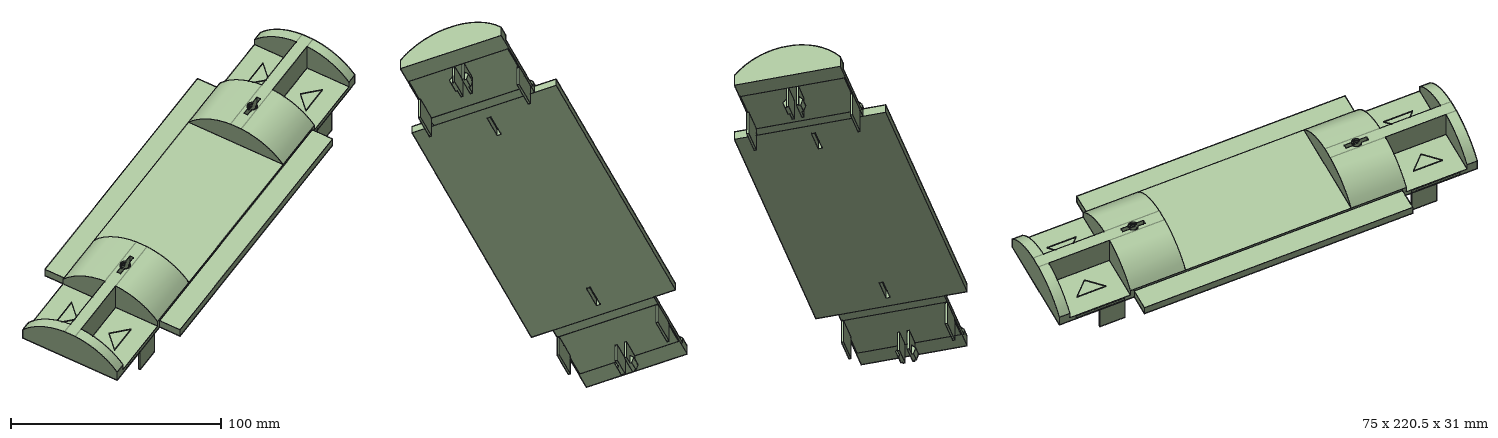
import cadquery as cq
import math

ENDS = (1, -1)
SIDES = (1, -1)

housing_length = 220.5
housing_width = 52.5
side_height = 6.0
housing_height = 18.0
arch_length = 66.5
rib_width = 6.0
end_wall = 5.5
window_length = 32.0
window_floor = 2.6
arrow_base = 15.5
arrow_tip_x = 8.8
arrow_height = 0.5

slot_y = 58.9
slot_length = 12.0
slot_width = 2.0
well_steps = ((4.9, 1.0), (3.5, 2.2))

plate_width = 75.0
plate_length = 141.5
plate_thickness = 4.6

frame_thickness = 1.3
blade_thickness = 1.0
leg_width = 13.2
leg_length = 13.0
leg_inner_y = 75.6
prong_width = 10.0
prong_length = 11.2
prong_outer_y = 101.2
prong_gap = 3.7
hook_width = 5.0
hook_setback = 0.7
hook_top = 5.7
hook_tip = 8.0
hook_reach = 2.0
hook_root = 0.9

half_width = housing_width / 2
half_rib = rib_width / 2
half_length = housing_length / 2
window_y = half_length - end_wall - window_length / 2
window_width = half_width - half_rib
frame_width = housing_width - blade_thickness
frame_length = prong_outer_y - leg_inner_y
frame_y = (prong_outer_y + leg_inner_y) / 2
leg_x = half_width - blade_thickness / 2
leg_y = leg_inner_y + leg_width / 2
prong_x = (prong_gap + blade_thickness) / 2
prong_face_x = prong_gap / 2 + blade_thickness
prong_y = prong_outer_y - prong_width / 2
hook_y = prong_outer_y - hook_setback - hook_width / 2


def block(x_size, y_size, z_low, z_high, x=0, y=0):
    """Box centred on (x, y) that spans z_low to z_high."""
    box = cq.Workplane("XY").box(x_size, y_size, z_high - z_low, centered=(True, True, False))
    return box.translate((x, y, z_low))


def arched_bar():
    """Full-length bar: straight sides, arched top with a flat strip along the crown."""
    center_z = (housing_height**2 + half_rib**2 - side_height**2 - half_width**2) / (
        2 * (housing_height - side_height)
    )
    radius = math.hypot(half_rib, housing_height - center_z)
    mid_x = (half_width + half_rib) / 2
    mid_z = center_z + math.sqrt(radius**2 - mid_x**2)
    return (
        cq.Workplane("XZ")
        .moveTo(-half_width, 0)
        .lineTo(half_width, 0)
        .lineTo(half_width, side_height)
        .threePointArc((mid_x, mid_z), (half_rib, housing_height))
        .lineTo(-half_rib, housing_height)
        .threePointArc((-mid_x, mid_z), (-half_width, side_height))
        .close()
        .extrude(half_length, both=True)
    )


def window(side, end):
    """Space beside the rib, open to the top and to the side."""
    x = side * (half_rib + window_width / 2)
    return block(window_width, window_length, window_floor, housing_height, x, end * window_y)


def arrow(side, end):
    """Raised triangle on the window floor that points at the rib."""
    base_x = side * (arrow_tip_x + arrow_base / 2)
    center_y = end * window_y
    return (
        cq.Workplane("XY", origin=(0, 0, window_floor))
        .moveTo(base_x, center_y - arrow_base / 2)
        .lineTo(base_x, center_y + arrow_base / 2)
        .lineTo(side * arrow_tip_x, center_y)
        .close()
        .extrude(arrow_height)
    )


def through_slot(end):
    """Narrow slot through housing and plate."""
    return block(slot_width, slot_length, 0, housing_height, 0, end * slot_y)


def stepped_well(end):
    """Round well sunk into the crown around the middle of the slot."""
    well = cq.Workplane("XY")
    for diameter, depth in well_steps:
        step = cq.Workplane("XY", origin=(0, end * slot_y, housing_height - depth))
        well = well.union(step.circle(diameter / 2).extrude(depth))
    return well


def make_housing():
    body = arched_bar()
    body = body.cut(block(housing_width, housing_length - 2 * arch_length, side_height, housing_height))
    body = body.cut(block(housing_width, plate_length, 0, plate_thickness))
    for end in ENDS:
        for side in SIDES:
            body = body.cut(window(side, end)).union(arrow(side, end))
        body = body.cut(through_slot(end)).cut(stepped_well(end))
        body = body.cut(block(frame_width, frame_length, 0, frame_thickness, 0, end * frame_y))
    return body


def make_plate():
    body = block(plate_width, plate_length, 0, plate_thickness)
    for end in ENDS:
        body = body.cut(through_slot(end))
    return body


def hook(side, end):
    """Outward barb at the bottom of a prong."""
    return (
        cq.Workplane("XZ", origin=(0, end * hook_y, 0))
        .moveTo(side * prong_face_x, -hook_top)
        .lineTo(side * (prong_face_x + hook_reach), -hook_tip)
        .lineTo(side * (prong_face_x + hook_root), -prong_length)
        .lineTo(side * prong_face_x, -prong_length)
        .close()
        .extrude(hook_width / 2, both=True)
    )


def make_clip_frame(end):
    body = block(frame_width, frame_length, 0, frame_thickness, 0, end * frame_y)
    for side in SIDES:
        leg = block(blade_thickness, leg_width, -leg_length, 0, side * leg_x, end * leg_y)
        prong = block(blade_thickness, prong_width, -prong_length, 0, side * prong_x, end * prong_y)
        body = body.union(leg).union(prong).union(hook(side, end))
    return body


housing = make_housing()
plate = make_plate()
clip_frames = [make_clip_frame(end) for end in ENDS]

result = cq.Compound.makeCompound(
    [housing.val(), plate.val(), *[frame.val() for frame in clip_frames]]
)